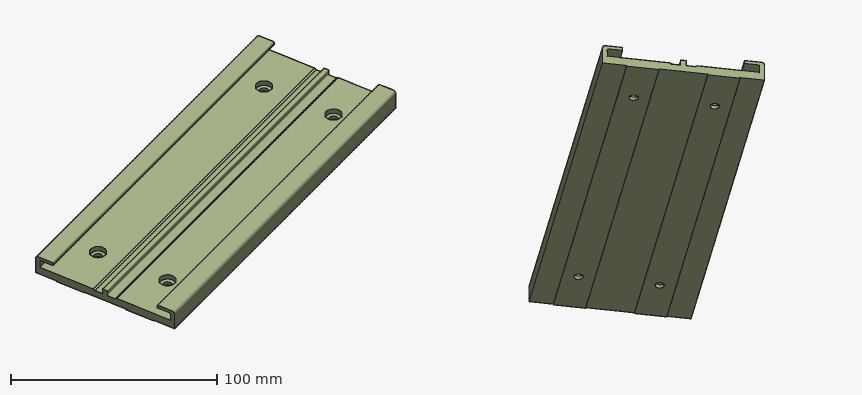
import cadquery as cq

length = 200.0
width = 80.0
height = 11.0

pad_width = 16.0
pad_height = 0.5

wall_thickness = 2.5
lip_thickness = 1.8
lip_reach = 10.0
outer_radius = 1.5
inner_radius = 1.0
lip_tip_radius = 0.5

floor_z = 4.8
groove_z = 4.2
groove_top_width = 13.5
groove_bottom_width = 11.5
rib_width = 2.8
rib_edge_radius = 0.2
rib_top_z = 7.2

hole_spacing_x = 40.0
hole_spacing_y = 150.0
hole_diameter = 4.5
counterbore_diameter = 8.5
counterbore_depth = 2.8


def centered_box(x_center, x_size, z_bottom, z_top):
    """Full-length bar spanning the given width and height range."""
    bar = cq.Workplane("XY").box(x_size, length, z_top - z_bottom, centered=(True, True, False))
    return bar.translate((x_center, 0, z_bottom))


def make_channel():
    """Slotted channel: a solid bar with its cavity and top opening removed."""
    bar = centered_box(0, width, pad_height, height)
    bar = bar.edges("|Y and >Z").fillet(outer_radius)
    cavity = centered_box(0, width - 2 * wall_thickness, floor_z, height - lip_thickness)
    cavity = cavity.edges("|Y and >Z").fillet(inner_radius)
    opening = centered_box(0, width - 2 * lip_reach, floor_z, height)
    channel = bar.cut(cavity).cut(opening)
    lip_x = width / 2 - lip_reach
    tip_edges = cq.selectors.BoxSelector(
        (-lip_x - lip_tip_radius, -length, height - lip_tip_radius),
        (lip_x + lip_tip_radius, length, height + lip_tip_radius),
    )
    return channel.edges("|Y").edges(tip_edges).fillet(lip_tip_radius)


def make_groove():
    """Trapezoidal prism that lowers the floor around the rib."""
    return (
        cq.Workplane("XZ")
        .moveTo(-groove_top_width / 2, floor_z)
        .lineTo(-groove_bottom_width / 2, groove_z)
        .lineTo(groove_bottom_width / 2, groove_z)
        .lineTo(groove_top_width / 2, floor_z)
        .close()
        .extrude(length / 2, both=True)
    )


def make_rib():
    """Centre rib with small fillets along its base and its top edges."""
    half_width = rib_width / 2
    radius = rib_edge_radius
    rib = (
        cq.Workplane("XZ")
        .moveTo(-half_width - radius, groove_z)
        .radiusArc((-half_width, groove_z + radius), -radius)
        .lineTo(-half_width, rib_top_z)
        .lineTo(half_width, rib_top_z)
        .lineTo(half_width, groove_z + radius)
        .radiusArc((half_width + radius, groove_z), -radius)
        .close()
        .extrude(length / 2, both=True)
    )
    return rib.faces(">Z").edges("|Y").fillet(radius)


body = make_channel().cut(make_groove()).union(make_rib())

for side in (-1, 1):
    pad = centered_box(side * hole_spacing_x / 2, pad_width, 0, pad_height)
    body = body.union(pad)

result = (
    body.copyWorkplane(cq.Workplane("XY", origin=(0, 0, floor_z)))
    .rarray(hole_spacing_x, hole_spacing_y, 2, 2)
    .cboreHole(hole_diameter, counterbore_diameter, counterbore_depth)
)